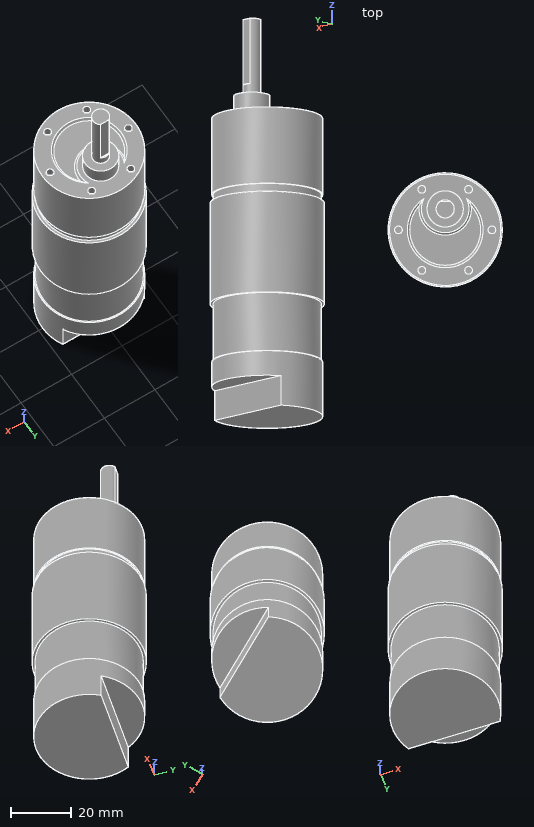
import cadquery as cq

total_height = 133.7
boss_top = 107.9
gearbox_top = 101.2
groove_top = 75.3
sleeve_top = 72.5
sleeve_bottom = 38.2
end_cap_top = 18.5

sleeve_diameter = 38.0
gearbox_diameter = 36.9
can_diameter = 36.0

shaft_offset = 7.0
shaft_diameter = 6.0
boss_diameter = 12.0
flat_start = boss_top + 3.6
flat_depth = 0.5

recess_radius = 12.6
pad_radius = 7.9
recess_depth = 0.8
recess_taper = 45.0

hole_count = 6
hole_circle_radius = 15.5
hole_diameter = 2.5
hole_depth = 4.0

step_height = 10.0
step_face_y = 8.8


def cylinder(diameter, bottom, top, center_y=0.0):
    """Vertical cylinder between two levels, centred at x = 0."""
    base = cq.Workplane("XY").workplane(offset=bottom).center(0, center_y)
    return base.circle(diameter / 2).extrude(top - bottom)


def motor_body():
    """Stack of coaxial sections from the end cap up to the gearbox face."""
    end_cap = cylinder(gearbox_diameter, 0, end_cap_top)
    can = cylinder(can_diameter, end_cap_top, groove_top)
    sleeve = cylinder(sleeve_diameter, sleeve_bottom, sleeve_top)
    gearbox = cylinder(gearbox_diameter, groove_top, gearbox_top)
    return end_cap.union(can).union(sleeve).union(gearbox)


def end_cap_step():
    """Block that removes the lower +Y part of the end cap."""
    step_length = sleeve_diameter / 2
    block = cq.Workplane("XY").box(
        sleeve_diameter, step_length, step_height, centered=(True, False, False)
    )
    return block.translate((0, step_face_y, 0))


def crescent_recess():
    """Shallow pocket whose sloping walls narrow it from the rim down to its floor."""
    pocket = (
        cq.Workplane("XY").workplane(offset=gearbox_top)
        .circle(recess_radius)
        .extrude(-recess_depth, taper=recess_taper)
    )
    pad = (
        cq.Workplane("XY").workplane(offset=gearbox_top).center(0, shaft_offset)
        .circle(pad_radius)
        .extrude(-recess_depth, taper=-recess_taper)
    )
    return pocket.cut(pad)


def mounting_holes():
    """Ring of blind holes around the motor axis."""
    return (
        cq.Workplane("XY").workplane(offset=gearbox_top)
        .polarArray(hole_circle_radius, 0, 360, hole_count)
        .circle(hole_diameter / 2)
        .extrude(-hole_depth)
    )


def output_shaft():
    """Shaft with a flat on its +Y side, standing on the boss."""
    flat_y = shaft_offset + shaft_diameter / 2 - flat_depth
    flat_cutter = (
        cq.Workplane("XY")
        .box(shaft_diameter, shaft_diameter, total_height - flat_start, centered=(True, False, False))
        .translate((0, flat_y, flat_start))
    )
    boss = cylinder(boss_diameter, gearbox_top, boss_top, shaft_offset)
    shaft = cylinder(shaft_diameter, boss_top, total_height, shaft_offset)
    return boss.union(shaft.cut(flat_cutter))


result = (
    motor_body()
    .cut(end_cap_step())
    .cut(crescent_recess())
    .cut(mounting_holes())
    .union(output_shaft())
)